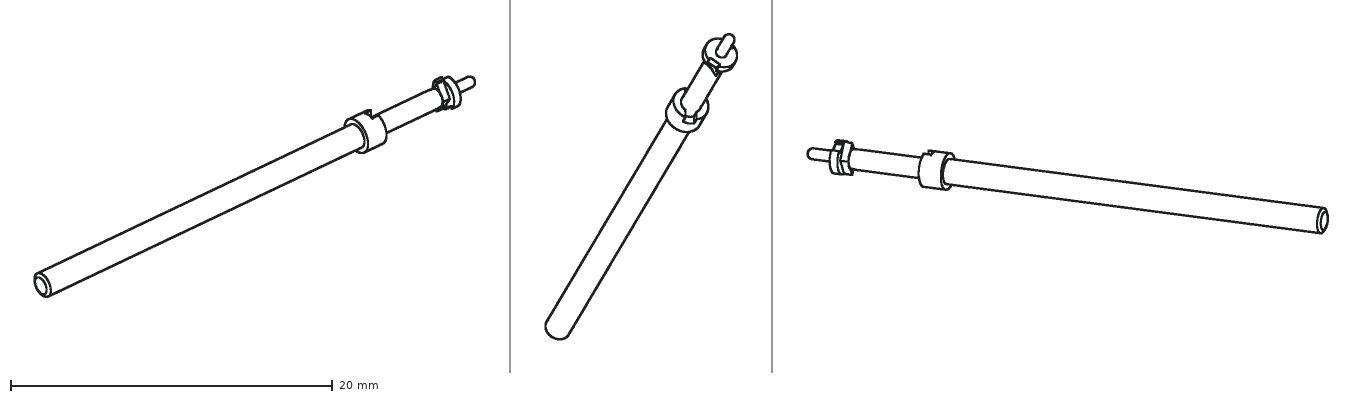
import cadquery as cq


BARREL_END = -17.5
RING_Y = -14.5
BARREL_TOP = 8.0
COLLAR_FRONT = 9.5
CONE_START = 14.1
HEAD_BACK = 14.5
HEAD_MIDDLE = 15.05
HEAD_FRONT = 15.58
PIN_TIP = 17.5

BARREL_RADIUS = 0.8
BARREL_END_RADIUS = 0.57
COLLAR_RADIUS = 1.15
PLUNGER_RADIUS = 0.65
NECK_RADIUS = 0.62
HEAD_RADIUS = 1.05
PIN_RADIUS = 0.35

BARREL_BEVEL = 0.15

SLOT_WIDTH = 0.72
SLOT_DEPTH = 0.5

HEAD_SLOT_ANGLE = 120.0
HEAD_SLOT_FLOOR = 0.8


def cylinder(start, end, radius):
    """Cylinder on the Y axis between two stations."""
    return cq.Workplane("XZ", origin=(0, end, 0)).circle(radius).extrude(end - start)


def cone(start, end, start_radius, end_radius):
    """Truncated cone on the Y axis between two stations."""
    profile = [(0, start), (start_radius, start), (end_radius, end), (0, end)]
    return cq.Workplane("XY").polyline(profile).close().revolve(360, (0, 0, 0), (0, 1, 0))


def make_barrel():
    """Barrel with a bevelled rear end; a seam ring marks its tail."""
    bevel_top = BARREL_END + BARREL_BEVEL
    bevel = cone(BARREL_END, bevel_top, BARREL_END_RADIUS, BARREL_RADIUS)
    tail = cylinder(bevel_top, RING_Y, BARREL_RADIUS)
    return bevel.union(tail).union(cylinder(RING_Y, BARREL_TOP, BARREL_RADIUS), clean=False)


def make_collar():
    """Collar with a slot across its front, open down to the plunger."""
    slot = cq.Workplane("XY").box(SLOT_WIDTH, 2 * SLOT_DEPTH, 2 * COLLAR_RADIUS)
    collar = cylinder(BARREL_TOP, COLLAR_FRONT, COLLAR_RADIUS)
    return collar.cut(slot.translate((0, COLLAR_FRONT, 0)))


def make_plunger():
    """Plunger shaft tapering slightly towards the head."""
    shaft = cylinder(BARREL_TOP, CONE_START, PLUNGER_RADIUS)
    return shaft.union(cone(CONE_START, HEAD_BACK, PLUNGER_RADIUS, NECK_RADIUS))


def make_head():
    """Rhombic key behind a round disc with two opposite rim slots."""
    rhombus = (
        cq.Workplane("XZ", origin=(0, HEAD_MIDDLE, 0))
        .polyline([(NECK_RADIUS, 0), (0, HEAD_RADIUS), (-NECK_RADIUS, 0), (0, -HEAD_RADIUS)])
        .close()
        .extrude(HEAD_MIDDLE - HEAD_BACK)
    )
    disc = cylinder(HEAD_MIDDLE, HEAD_FRONT, HEAD_RADIUS)
    slot_middle = HEAD_SLOT_FLOOR + HEAD_RADIUS / 2
    for angle in (HEAD_SLOT_ANGLE, HEAD_SLOT_ANGLE + 180):
        slot = (
            cq.Workplane("XY")
            .box(HEAD_RADIUS, HEAD_RADIUS, SLOT_WIDTH)
            .translate((slot_middle, HEAD_MIDDLE + HEAD_RADIUS / 2, 0))
            .rotate((0, 0, 0), (0, 1, 0), -angle)
        )
        disc = disc.cut(slot)
    return rhombus.union(disc)


def make_pin():
    """Contact pin with a hemispherical nose."""
    dome_start = PIN_TIP - PIN_RADIUS
    shaft = cylinder(HEAD_FRONT, dome_start, PIN_RADIUS)
    dome = cq.Workplane("XY").sphere(PIN_RADIUS).translate((0, dome_start, 0))
    return shaft.union(dome)


result = make_barrel()
for section in (make_collar(), make_plunger(), make_head(), make_pin()):
    result = result.union(section, clean=False)